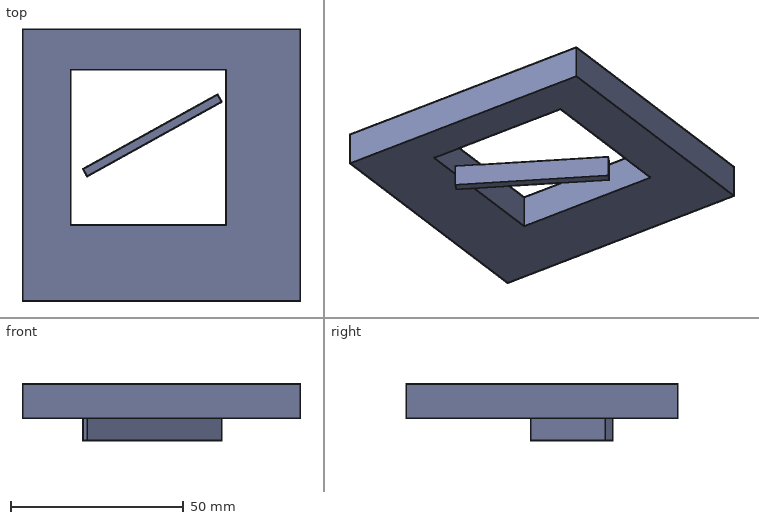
import cadquery as cq

FRAME_LENGTH = 80.7
FRAME_WIDTH = 78.95
FRAME_THICKNESS = 10.0

WINDOW_SIDE = 45.05
WINDOW_LEFT_MARGIN = 14.05
WINDOW_BACK_MARGIN = 11.8

BAR_LENGTH = 44.7
BAR_WIDTH = 2.5
BAR_HEIGHT = 6.45
BAR_ANGLE = 29.0
BAR_CENTER_X = 37.7
BAR_CENTER_Y = 48.1


def make_frame():
    """Plate standing on z = 0 with the square window through it."""
    plate = cq.Workplane("XY").box(FRAME_LENGTH, FRAME_WIDTH, FRAME_THICKNESS, centered=False)
    window_front = FRAME_WIDTH - WINDOW_BACK_MARGIN - WINDOW_SIDE
    window = (
        cq.Workplane("XY")
        .box(WINDOW_SIDE, WINDOW_SIDE, FRAME_THICKNESS, centered=False)
        .translate((WINDOW_LEFT_MARGIN, window_front, 0))
    )
    return plate.cut(window)


def make_bar():
    """Tilted strip below the window, its top level with the frame's underside."""
    return (
        cq.Workplane("XY")
        .box(BAR_LENGTH, BAR_WIDTH, BAR_HEIGHT, centered=(True, True, False))
        .rotate((0, 0, 0), (0, 0, 1), BAR_ANGLE)
        .translate((BAR_CENTER_X, BAR_CENTER_Y, -BAR_HEIGHT))
    )


frame = make_frame()
bar = make_bar()
result = cq.Compound.makeCompound([frame.val(), bar.val()])